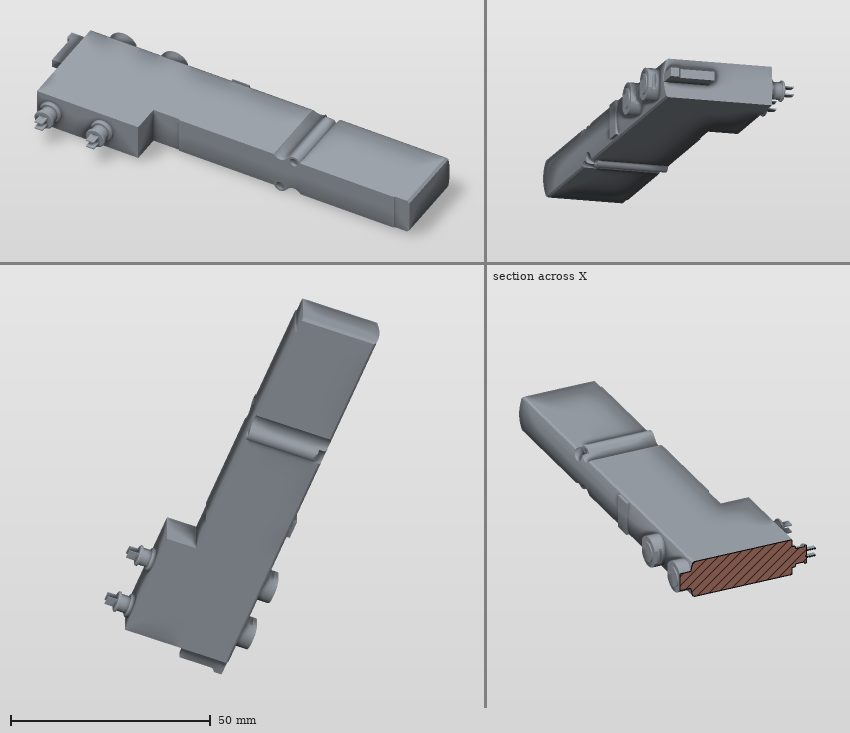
import cadquery as cq
import math

length = 108.5
body_left = 6.0
body_half_height = 5.0
deep_end_right = 35.0
shallow_front = 7.8
back_edge = 27.7
back_crown = 28.4
end_chamfer = 0.7
back_chamfer_depth = 0.5
back_chamfer_drop = 0.3

pad_left = 42.5
pad_right = 104.3
pad_front = 7.5

groove_x = 71.6
tube_x = 75.5
groove_radius = 2.2
groove_z = 6.1
tube_radius = 1.8
tube_z = 4.3
bore_z = 4.6
bore_diameter = 1.6
mouth_diameter = 2.3
mouth_depth = 2.2
socket_diameter = 4.0
socket_depth = 1.8

tab_front = 16.6
tab_back = 28.3
tab_thickness = 2.3
tab_recess = 1.0
tab_lip_front = 26.3
tab_neck_back = 25.5

plate_left = 46.1
plate_width = 5.0
plate_height = 8.9
plate_back = 28.6

station_count = 2
station_pitch = 14.8

knob_x = 13.3
knob_diameter = 8.1
knob_shoulder = 31.2
knob_back = 31.6
cap_diameter = 5.3
knob_root = 27.1
knob_flat_offset = 3.7
knob_flat_front = 30.3
knob_slot_offset = 3.5
knob_slot_front = 29.3
knob_slot_back = 30.1

plug_x = 10.1
base_diameter = 6.1
base_end = -1.0
base_chamfer = 0.3
stem_diameter = 4.5
rim_diameter = 5.3
rim_start = -3.4
rim_end = -4.0
rim_chamfer = 0.2
blade_tip = -6.6
blade_width = 2.3
blade_thickness = 0.3
blade_spacing = 2.0


def box(x_range, y_range, z_range):
    """Box spanning the given (low, high) pairs."""
    sizes = [high - low for low, high in (x_range, y_range, z_range)]
    corner = (x_range[0], y_range[0], z_range[0])
    return cq.Workplane("XY").box(*sizes, centered=False).translate(corner)


def cylinder(x, z, diameter, y_start, y_end):
    """Cylinder along Y between two Y positions."""
    plane = cq.Workplane("XZ", origin=(x, y_start, z))
    return plane.circle(diameter / 2).extrude(y_start - y_end)


def polar(center, radius, angle):
    return (center[0] + radius * math.cos(angle), center[1] + radius * math.sin(angle))


def wave_points():
    """Points of the groove arc and the tube arc, joined by their common tangent line."""
    groove = (groove_x, groove_z)
    tube = (tube_x, tube_z)
    center_distance = math.dist(groove, tube)
    center_angle = math.atan2(tube_z - groove_z, tube_x - groove_x)
    tangent = center_angle - math.acos((groove_radius + tube_radius) / center_distance)
    groove_start = -math.pi + math.asin((groove_z - body_half_height) / groove_radius)
    tube_start = tangent + math.pi
    tube_end = math.asin((body_half_height - tube_z) / tube_radius)
    return [
        polar(groove, groove_radius, groove_start),
        polar(groove, groove_radius, (groove_start + tangent) / 2),
        polar(groove, groove_radius, tangent),
        polar(tube, tube_radius, tube_start),
        polar(tube, tube_radius, (tube_start + tube_end) / 2),
        polar(tube, tube_radius, tube_end),
    ]


def turn_over(point):
    """Half turn about the middle of the groove and tube pair."""
    return (groove_x + tube_x - point[0], -point[1])


def wavy_outline(sketch, points):
    """Continue an outline along one groove and tube."""
    sketch = sketch.lineTo(*points[0]).threePointArc(points[1], points[2])
    return sketch.lineTo(*points[3]).threePointArc(points[4], points[5])


def make_long_block(left, right, front, chamfer):
    """Length of the body with its grooves and tubes; the right end may be chamfered."""
    top = wave_points()
    bottom = [turn_over(point) for point in top]
    half = body_half_height
    sketch = cq.Workplane("XZ", origin=(0, front, 0)).moveTo(left, half)
    sketch = wavy_outline(sketch, top)
    sketch = sketch.lineTo(right - chamfer, half)
    if chamfer > 0:
        sketch = sketch.lineTo(right, half - chamfer).lineTo(right, chamfer - half)
    sketch = sketch.lineTo(right - chamfer, -half)
    sketch = wavy_outline(sketch, bottom).lineTo(left, -half).close()
    return sketch.extrude(front - back_crown)


def make_back_envelope():
    """Cross-section with chamfered back edges and a crowned back, tall enough for the tubes."""
    clearance_half = 2 * body_half_height
    crown_half = body_half_height - back_chamfer_drop
    chamfer_slope = back_chamfer_depth / back_chamfer_drop
    clearance_y = back_edge - (clearance_half - crown_half) * chamfer_slope
    profile = (
        cq.Workplane("YZ")
        .moveTo(0, -clearance_half)
        .lineTo(clearance_y, -clearance_half)
        .lineTo(back_edge, -crown_half)
        .threePointArc((back_crown, 0), (back_edge, crown_half))
        .lineTo(clearance_y, clearance_half)
        .lineTo(0, clearance_half)
        .close()
    )
    return profile.extrude(length)


def make_body():
    height = (-body_half_height, body_half_height)
    body = make_long_block(body_left, length, shallow_front, end_chamfer)
    body = body.union(make_long_block(pad_left, pad_right, pad_front, 0))
    body = body.union(box((body_left, deep_end_right), (0, shallow_front), height))
    body = body.intersect(make_back_envelope())
    socket_front = back_edge - socket_depth
    mouth_end = pad_front + mouth_depth
    for x, z in ((tube_x, bore_z), turn_over((tube_x, bore_z))):
        body = body.cut(cylinder(x, z, bore_diameter, pad_front, back_crown))
        body = body.cut(cylinder(x, z, mouth_diameter, pad_front, mouth_end))
        body = body.cut(cylinder(x, z, socket_diameter, socket_front, back_crown))
    return body


def make_tab():
    outline = [
        (body_left, tab_front),
        (tab_recess, tab_front),
        (tab_recess, tab_neck_back),
        (0, tab_lip_front),
        (0, tab_back),
        (body_left, tab_back),
    ]
    return cq.Workplane("XY").polyline(outline).close().extrude(tab_thickness / 2, both=True)


def make_plate():
    x_range = (plate_left, plate_left + plate_width)
    return box(x_range, (back_edge, plate_back), (-plate_height / 2, plate_height / 2))


def make_knob(x):
    radius = knob_diameter / 2
    knob = cylinder(x, 0, knob_diameter, knob_root, knob_shoulder)
    height = (-radius, radius)
    cuts = (
        (knob_flat_offset, (knob_flat_front, knob_shoulder)),
        (knob_slot_offset, (knob_slot_front, knob_slot_back)),
    )
    for offset, y_range in cuts:
        knob = knob.cut(box((x + offset, x + radius), y_range, height))
        knob = knob.cut(box((x - radius, x - offset), y_range, height))
    return knob.union(cylinder(x, 0, cap_diameter, knob_root, knob_back))


def make_plug(x):
    plug = cylinder(x, 0, base_diameter, base_end, 0).faces("<Y").chamfer(base_chamfer)
    plug = plug.union(cylinder(x, 0, stem_diameter, rim_start, 0))
    rim = cylinder(x, 0, rim_diameter, rim_end, rim_start).faces("<Y").chamfer(rim_chamfer)
    plug = plug.union(rim)
    for side in (-1, 1):
        z = side * blade_spacing / 2
        blade_x = (x - blade_width / 2, x + blade_width / 2)
        blade_z = (z - blade_thickness / 2, z + blade_thickness / 2)
        plug = plug.union(box(blade_x, (blade_tip, rim_end), blade_z))
    return plug


result = make_body().union(make_tab()).union(make_plate())
for station in range(station_count):
    station_offset = station * station_pitch
    result = result.union(make_knob(knob_x + station_offset))
    result = result.union(make_plug(plug_x + station_offset))